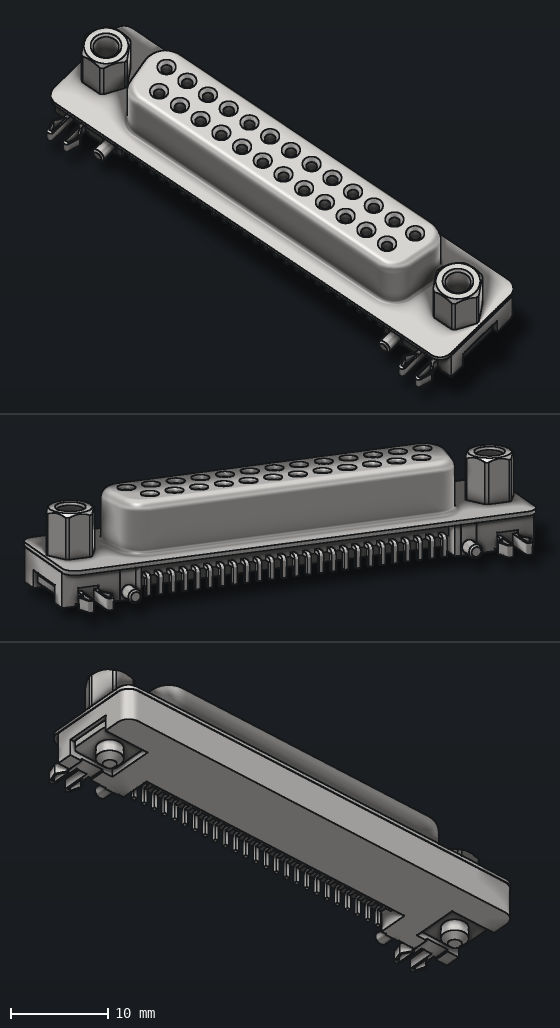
import cadquery as cq
import math


length = 53.05
overall_width = 14.25
flange_width = 12.45
flange_thickness = 0.5
corner_radius = 1.5
body_bottom = -4.35
body_front = -4.65
body_inset = 0.05
flange_back = flange_width / 2

shell_height = 5.7
shell_half_depth = 4.0
shell_mid_half_length = 19.05
shell_side_angle = 10.0
shell_corner_radius = 2.55
shell_top_fillet = 1.0
shell_base_fillet = 0.5

long_row_count = 13
long_row_span = 33.2
contact_pitch = long_row_span / (long_row_count - 1)
contact_row_offset = 1.45
contact_mouth_diameter = 1.9
contact_bore_diameter = 1.1
contact_mouth_depth = (contact_mouth_diameter - contact_bore_diameter) / 2
contact_bore_depth = 2.65

tail_pitch = contact_pitch / 2
tail_count = 2 * long_row_count - 1
tail_size = 0.5
tail_top = -2.05
tail_bend_radius = 0.47
tail_front = -4.35
recess_length = 35.1
recess_upper_front = -3.2
recess_lower_front = -1.05
recess_step = tail_top - tail_size

peg_x = 19.1
peg_z = -3.45
peg_diameter = 1.5
peg_tip = -6.75
peg_chamfer = 0.2
pad_width = 1.75
pad_height = 0.1
pad_front = body_front - pad_height

screw_x = 23.5
standoff_height = 4.9
hex_across_flats = 4.8
hex_corner_diameter = 5.3
hex_chamfer = 0.35
thread_diameter = 2.65
thread_mouth_diameter = 3.2
thread_mouth_depth = (thread_mouth_diameter - thread_diameter) / 2
thread_depth = standoff_height
drill_point_angle = 118.0
post_diameter = 2.85
post_tip = -5.6
post_chamfer = 0.7

strap_half_size = 2.75
pocket_top = -2.4
strap_radius = 0.8
strap_top = -2.7
strap_bottom = -3.55
prong_top = -2.8
prong_bottom = -4.1
prong_inner = 0.7
prong_tip_outer = 1.5
prong_tip = flange_back - overall_width
barb_back = -5.35
barb_front = -6.45
barb_reach = 1.85
prong_sheet = 0.2
window_half_width = 1.15
window_depth = 0.25


def box(x_min, x_max, y_min, y_max, z_min, z_max):
    """Block between the given limits."""
    size = (x_max - x_min, y_max - y_min, z_max - z_min)
    return cq.Workplane("XY").box(*size, centered=False).translate((x_min, y_min, z_min))


def revolve_profile(points):
    """Turn an (r, z) profile about the Z axis."""
    return cq.Workplane("XZ").polyline(points).close().revolve(360, (0, 0), (0, 1))


def make_flange():
    """Rounded metal plate below Z = 0."""
    plate = cq.Workplane("XY").rect(length, flange_width).extrude(-flange_thickness)
    return plate.edges("|Z").fillet(corner_radius)


def make_body():
    """Insulator with a stepped recess along the front for the solder tails."""
    half_length = length / 2 - body_inset
    back = flange_back - body_inset
    body = box(-half_length, half_length, body_front, back, body_bottom, -flange_thickness)
    body = body.edges("|Z and >Y").fillet(corner_radius)
    recess_end = recess_length / 2
    upper = box(-recess_end, recess_end, body_front, recess_upper_front, recess_step, -flange_thickness)
    lower = box(-recess_end, recess_end, body_front, recess_lower_front, body_bottom, recess_step)
    return body.cut(upper).cut(lower)


def make_shell():
    """D-shaped shell with slanted ends, rounded corners and a rounded top rim."""
    slant = shell_half_depth * math.tan(math.radians(shell_side_angle))
    back = shell_mid_half_length + slant
    front = shell_mid_half_length - slant
    depth = shell_half_depth
    outline = [(-back, depth), (back, depth), (front, -depth), (-front, -depth)]
    shell = cq.Workplane("XY").polyline(outline).close().extrude(shell_height)
    shell = shell.edges("|Z").fillet(shell_corner_radius)
    return shell.faces(">Z").edges().fillet(shell_top_fillet)


def flange_with_shell():
    """Flange carrying the shell, which flares out at its foot."""
    shell = make_shell()
    zone_x = length / 2 - corner_radius
    zone_y = flange_back - corner_radius
    zone_z = flange_thickness / 2
    foot_zone = cq.selectors.BoxSelector((-zone_x, -zone_y, -zone_z), (zone_x, zone_y, zone_z))
    return make_flange().union(shell).edges(foot_zone).fillet(shell_base_fillet)


def contact_holes():
    """Funnel-mouthed sockets in two staggered rows."""
    mouth = contact_mouth_diameter / 2
    bore = contact_bore_diameter / 2
    socket = revolve_profile([
        (0, shell_height),
        (mouth, shell_height),
        (bore, shell_height - contact_mouth_depth),
        (bore, shell_height - contact_bore_depth),
        (0, shell_height - contact_bore_depth),
    ])
    back_row = cq.Workplane("XY").center(0, contact_row_offset)
    back_row = back_row.rarray(contact_pitch, 0.55, long_row_count, 1)
    front_row = cq.Workplane("XY").center(0, -contact_row_offset)
    front_row = front_row.rarray(contact_pitch, 0.55, long_row_count - 1, 1)
    holes = back_row.eachpoint(lambda place: socket.val().moved(place))
    return holes.add(front_row.eachpoint(lambda place: socket.val().moved(place)))


def solder_tail():
    """Tail leaving the body forward, then bent down to the body's underside."""
    side = tail_size / 2
    leg = box(-side, side, tail_front, tail_front + tail_size, body_bottom, tail_top)
    arm = box(-side, side, tail_front, recess_lower_front, recess_step, tail_top)
    return leg.union(arm).edges("|X and <Y and >Z").fillet(tail_bend_radius)


def locating_peg():
    """Chamfered peg on a slightly raised pad."""
    pad = box(-pad_width / 2, pad_width / 2, pad_front, body_front, body_bottom, -flange_thickness)
    peg = cq.Workplane("XZ", origin=(0, body_front, peg_z)).circle(peg_diameter / 2)
    peg = peg.extrude(body_front - peg_tip).faces("<Y").chamfer(peg_chamfer)
    return pad.union(peg)


def standoff():
    """Hexagonal jack nut with turned corners, and the blind hole to cut in it."""
    sharp_diameter = hex_across_flats / math.cos(math.pi / 6)
    hexagon = cq.Workplane("XY").polygon(6, sharp_diameter).extrude(standoff_height)
    turned = cq.Workplane("XY").circle(hex_corner_diameter / 2).extrude(standoff_height)
    turned = turned.faces(">Z").chamfer(hex_chamfer)
    bore = thread_diameter / 2
    floor = standoff_height - thread_depth
    point = bore / math.tan(math.radians(drill_point_angle / 2))
    hole = revolve_profile([
        (0, standoff_height),
        (thread_mouth_diameter / 2, standoff_height),
        (bore, standoff_height - thread_mouth_depth),
        (bore, floor),
        (0, floor - point),
    ])
    return hexagon.intersect(turned), hole


def lock_pocket():
    """Pocket open to the end and underside of the body, a shallow front window and a gap below it."""
    outer = length / 2 - screw_x
    pocket = box(-outer, strap_half_size, -strap_half_size, strap_half_size, body_bottom, pocket_top)
    window = box(-window_half_width, window_half_width, body_front, body_front + window_depth,
                 prong_bottom, pocket_top)
    passage = box(-post_diameter / 2, post_diameter / 2, body_front, 0, body_bottom, prong_bottom)
    return pocket.union(window).union(passage)


def prong():
    """Barbed hook reaching forward from the body, bent from sheet around an open eye."""
    tip_radius = (prong_tip_outer - prong_inner) / 2
    tip_shoulder = prong_tip + tip_radius
    root = body_front + window_depth
    height = prong_top - prong_bottom
    base = cq.Workplane("XY", origin=(0, 0, prong_bottom))
    hook = (
        base.moveTo(prong_inner, root)
        .lineTo(prong_inner, tip_shoulder)
        .threePointArc((prong_inner + tip_radius, prong_tip), (prong_tip_outer, tip_shoulder))
        .lineTo(barb_reach, barb_front)
        .lineTo(window_half_width, barb_back)
        .lineTo(window_half_width, root)
        .close()
        .extrude(height)
    )
    eye = [
        (prong_inner + prong_sheet, barb_back),
        (prong_inner + prong_sheet, tip_shoulder),
        (prong_tip_outer - prong_sheet, tip_shoulder),
        (barb_reach - prong_sheet, barb_front),
    ]
    return hook.cut(base.polyline(eye).close().extrude(height))


def board_lock():
    """Strap in the pocket, the post through it and two hooks at the front."""
    strap = box(-strap_half_size, strap_half_size, -strap_half_size, strap_half_size,
                strap_bottom, strap_top)
    strap = strap.edges("|Z").fillet(strap_radius)
    post = cq.Workplane("XY", origin=(0, 0, post_tip)).circle(post_diameter / 2)
    post = post.extrude(pocket_top - post_tip).faces("<Z").chamfer(post_chamfer)
    hook = prong()
    return strap.union(post).union(hook).union(hook.mirror("YZ"))


def on_both_ends(shape, distance):
    """The left-hand shape placed at -distance together with its mirror image."""
    left = shape.translate((-distance, 0, 0))
    return left.union(left.mirror("YZ"))


nut, nut_hole = standoff()
part = flange_with_shell().union(make_body())
part = part.cut(contact_holes())
part = part.cut(on_both_ends(lock_pocket(), screw_x))
part = part.union(on_both_ends(board_lock(), screw_x))
part = part.union(on_both_ends(nut, screw_x)).cut(on_both_ends(nut_hole, screw_x))
part = part.union(on_both_ends(locating_peg(), peg_x))
for index in range(tail_count):
    tail_x = (index - (tail_count - 1) / 2) * tail_pitch
    part = part.union(solder_tail().translate((tail_x, 0, 0)))

result = part